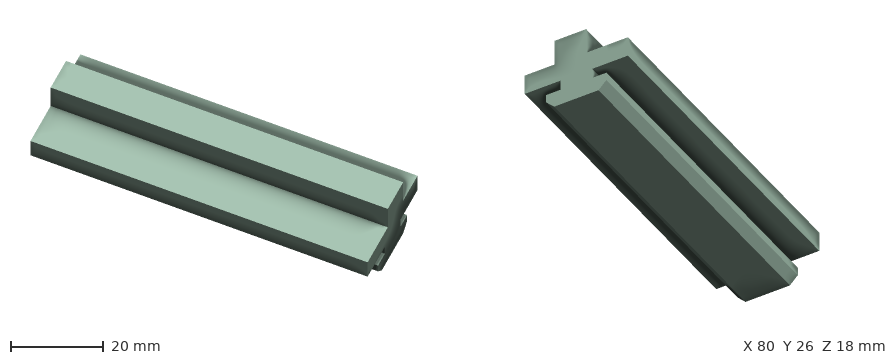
import cadquery as cq

length = 80.0

flange_width = 26.0
rib_width = 8.0
rib_offset = 1.5
neck_width = 8.0
foot_width = 15.2

foot_height = 4.0
neck_height = 2.5
flange_height = 5.0
rib_height = 6.5
foot_chamfer = 2.0


def bar(width, height, base_z, center_y=0.0):
    """Full-length rectangular bar standing on base_z."""
    return (
        cq.Workplane("XY")
        .box(length, width, height, centered=(True, True, False))
        .translate((0, center_y, base_z))
    )


neck_base = foot_height
flange_base = neck_base + neck_height
rib_base = flange_base + flange_height

foot = bar(foot_width, foot_height, 0.0).edges("|X and <Z").chamfer(foot_chamfer)

neck = bar(neck_width, neck_height, neck_base)
flange = bar(flange_width, flange_height, flange_base)
rib = bar(rib_width, rib_height, rib_base, rib_offset)

result = foot.union(neck).union(flange).union(rib)